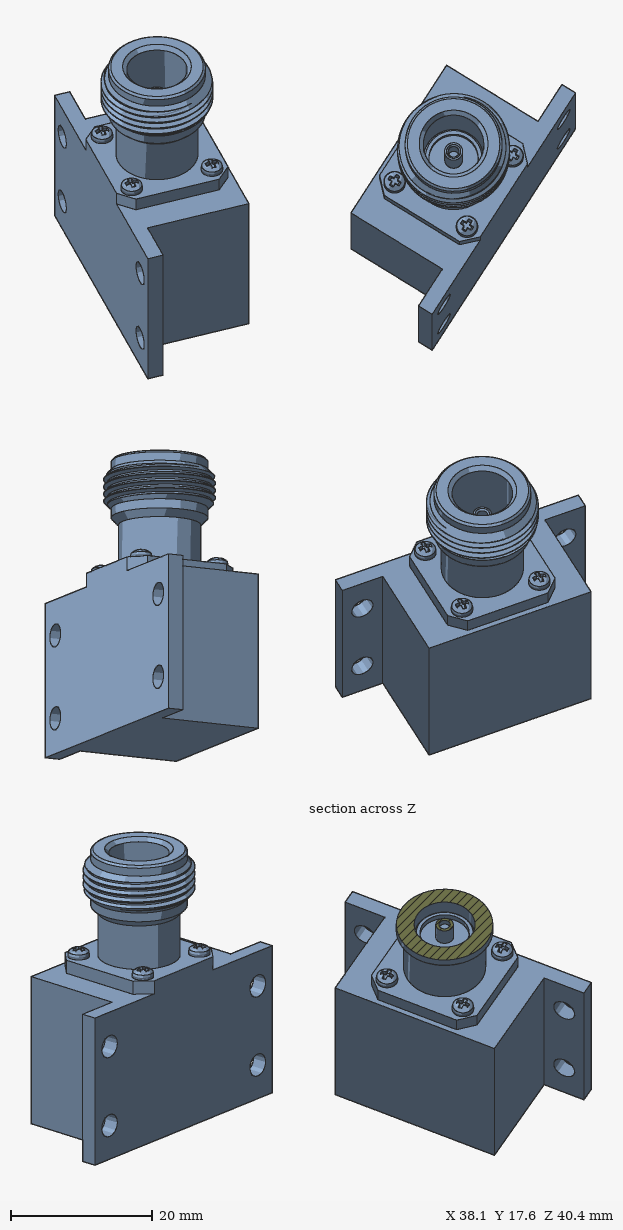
import cadquery as cq
import math

total_height = 40.4

plate_width = 38.1
plate_thickness = 2.3
block_width = 25.4
body_depth = 17.6
body_height = 22.35
mount_hole_diameter = 3.3
mount_hole_spacing_x = 31.8
mount_hole_spacing_z = 12.0
mount_hole_lowest_z = 5.13

flange_side = 16.85
flange_thickness = 1.98
flange_corner_chamfer = 2.15
flange_top = body_height + flange_thickness
axis_y = flange_side / 2

neck_radius = 11.67 / 2
collar_radius = 13.75 / 2
nose_chamfer = 0.32
nose_length = 1.55
shoulder_cone_height = collar_radius - neck_radius
collar_height = 1.35

thread_radius = 15.87 / 2
thread_pitch = 1.05
thread_length = 5.57
thread_depth = 0.53
thread_crest_flat = 0.1
thread_root_flat = 0.25
thread_run_out = 1.2
thread_top = total_height - nose_length
thread_bottom = thread_top - thread_length
collar_bottom = thread_bottom - collar_height

mouth_radius = 9.75 / 2
bore_radius = 8.55 / 2
bore_floor_depth = 9.1
seat_radius = 8.05 / 2
seat_height = 0.4
recess_radius = 7.0 / 2
recess_depth = 0.8
bore_floor_z = total_height - bore_floor_depth
recess_floor_z = bore_floor_z - recess_depth

contact_radius = 2.55 / 2
contact_tip_depth = 4.85
contact_hole_radius = 1.55 / 2
contact_hole_mouth_radius = 1.0
contact_hole_depth = 3.25
contact_tip_z = total_height - contact_tip_depth

screw_spacing = 12.1
head_radius = 3.05 / 2
head_rim_height = 0.3
head_shoulder_radius = 1.45
head_shoulder_height = 0.73
head_height = 1.35
cross_width = 0.55
cross_length = 2.1
cross_floor_length = 1.3
cross_floor_height = 0.6


def revolve_on_axis(profile):
    """Revolve a closed (radius, z) profile about the connector axis."""
    return profile.close().revolve(360, (0, 0, 0), (0, 1, 0)).translate((0, axis_y, 0))


def make_body():
    plate = cq.Workplane("XY").box(plate_width, plate_thickness, body_height, centered=(True, False, False))
    block = cq.Workplane("XY").box(block_width, body_depth, body_height, centered=(True, False, False))
    holes = (
        cq.Workplane("XZ", origin=(0, 0, mount_hole_lowest_z + mount_hole_spacing_z / 2))
        .rarray(mount_hole_spacing_x, mount_hole_spacing_z, 2, 2)
        .circle(mount_hole_diameter / 2)
        .extrude(-plate_thickness)
    )
    return plate.union(block).cut(holes)


def make_flange():
    return (
        cq.Workplane("XY", origin=(0, axis_y, body_height))
        .rect(flange_side, flange_side)
        .extrude(flange_thickness)
        .edges("|Z")
        .chamfer(flange_corner_chamfer)
    )


def make_barrel():
    thread_end_chamfer = thread_radius - collar_radius
    return revolve_on_axis(
        cq.Workplane("XZ")
        .moveTo(0, flange_top)
        .lineTo(neck_radius, flange_top)
        .lineTo(neck_radius, collar_bottom - shoulder_cone_height)
        .lineTo(collar_radius, collar_bottom)
        .lineTo(collar_radius, thread_bottom)
        .lineTo(thread_radius, thread_bottom + thread_end_chamfer)
        .lineTo(thread_radius, thread_top - thread_end_chamfer)
        .lineTo(collar_radius, thread_top)
        .lineTo(collar_radius, total_height - nose_chamfer)
        .lineTo(collar_radius - nose_chamfer, total_height)
        .lineTo(0, total_height)
    )


def make_thread_groove():
    """Right-handed V groove that runs out past both ends of the thread."""
    start_z = thread_bottom - thread_run_out
    height = thread_length + 2 * thread_run_out
    root_radius = thread_radius - thread_depth
    root_half = thread_root_flat / 2
    mouth_half = (thread_pitch - thread_crest_flat) / 2
    overshoot = 0.02
    outer_radius = thread_radius + overshoot
    outer_half = mouth_half + overshoot * (mouth_half - root_half) / thread_depth
    path = cq.Wire.makeHelix(thread_pitch, height, thread_radius)
    groove = (
        cq.Workplane("XZ")
        .polyline([
            (root_radius, -root_half),
            (outer_radius, -outer_half),
            (outer_radius, outer_half),
            (root_radius, root_half),
        ])
        .close()
        .sweep(cq.Workplane(path), isFrenet=True)
    )
    return groove.translate((0, axis_y, start_z))


def make_socket():
    """Bored cavity with a chamfered mouth, a bevelled seat and a central recess."""
    mouth_depth = mouth_radius - bore_radius
    return revolve_on_axis(
        cq.Workplane("XZ")
        .moveTo(0, total_height)
        .lineTo(mouth_radius, total_height)
        .lineTo(bore_radius, total_height - mouth_depth)
        .lineTo(bore_radius, bore_floor_z - seat_height)
        .lineTo(seat_radius, bore_floor_z)
        .lineTo(recess_radius, bore_floor_z)
        .lineTo(recess_radius, recess_floor_z)
        .lineTo(0, recess_floor_z)
    )


def make_contact():
    hole_chamfer = contact_hole_mouth_radius - contact_hole_radius
    hole_floor_z = contact_tip_z - contact_hole_depth
    return revolve_on_axis(
        cq.Workplane("XZ")
        .moveTo(0, recess_floor_z)
        .lineTo(contact_radius, recess_floor_z)
        .lineTo(contact_radius, contact_tip_z)
        .lineTo(contact_hole_mouth_radius, contact_tip_z)
        .lineTo(contact_hole_radius, contact_tip_z - hole_chamfer)
        .lineTo(contact_hole_radius, hole_floor_z)
        .lineTo(0, hole_floor_z)
    )


def make_screw_head():
    """Domed head standing on z = 0, with a tapered cross recess."""
    dome_rise = head_height - head_shoulder_height
    dome_radius = (head_shoulder_radius**2 + dome_rise**2) / (2 * dome_rise)
    mid_radius = head_shoulder_radius / 2
    mid_height = head_height - dome_radius + math.sqrt(dome_radius**2 - mid_radius**2)
    head = (
        cq.Workplane("XZ")
        .lineTo(head_radius, 0)
        .lineTo(head_radius, head_rim_height)
        .lineTo(head_shoulder_radius, head_shoulder_height)
        .threePointArc((mid_radius, mid_height), (0, head_height))
        .close()
        .revolve(360, (0, 0, 0), (0, 1, 0))
    )
    arm = (
        cq.Workplane("XZ")
        .polyline([
            (-cross_floor_length / 2, cross_floor_height),
            (cross_floor_length / 2, cross_floor_height),
            (cross_length / 2, head_height),
            (-cross_length / 2, head_height),
        ])
        .close()
        .extrude(cross_width / 2, both=True)
    )
    return head.cut(arm).cut(arm.rotate((0, 0, 0), (0, 0, 1), 90))


seam_angle = 90
barrel = make_barrel().rotate((0, axis_y, 0), (0, axis_y, 1), seam_angle)
connector = barrel.cut(make_thread_groove()).cut(make_socket()).union(make_contact())
result = make_body().union(make_flange()).union(connector)

screw_head = make_screw_head()
for side_x in (-1, 1):
    for side_y in (-1, 1):
        screw_x = side_x * screw_spacing / 2
        screw_y = axis_y + side_y * screw_spacing / 2
        result = result.union(screw_head.translate((screw_x, screw_y, flange_top)))

result = result.clean()